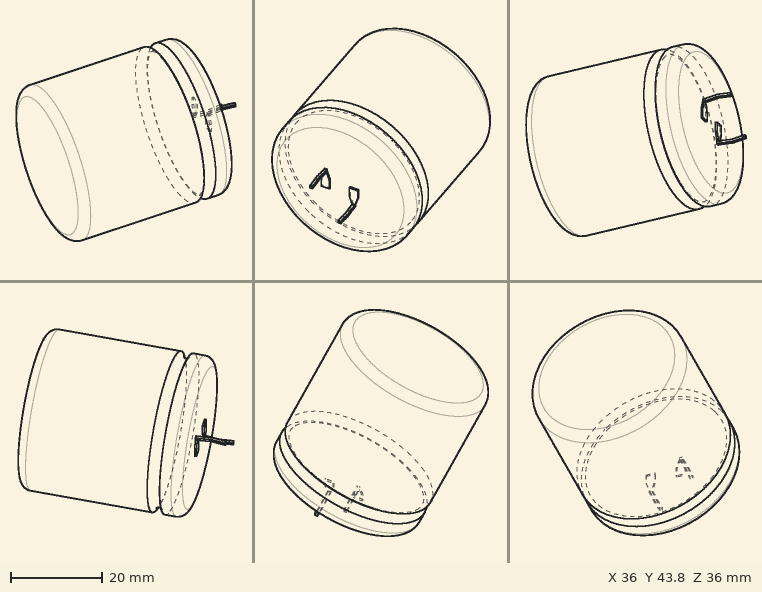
import cadquery as cq
import math

can_radius = 18.0
can_length = 37.0
rim_fillet = 2.08
groove_radius = 1.38
groove_setback = 6.03

terminal_pitch = 10.0
terminal_offset = terminal_pitch / 2 / math.sqrt(2)
terminal_height = 6.79

foot_thickness = 0.42
foot_width = 2.1
foot_half_length = 1.15
pin_width = 0.65
pin_thickness = 0.6
pin_bow = 0.35
embed = 0.5

pin_inner_z = terminal_offset - pin_thickness / 2
pin_outer_z = terminal_offset + pin_thickness / 2


def make_can():
    can = cq.Workplane("XZ").circle(can_radius).extrude(can_length)
    can = can.faces("<Y or >Y").edges().fillet(rim_fillet)
    groove = (
        cq.Workplane("XY")
        .center(can_radius, -groove_setback)
        .circle(groove_radius)
        .revolve(360, (-can_radius, 0), (-can_radius, 1))
    )
    return can.cut(groove)


def make_foot():
    """Plate that tapers to the pin width and ends flush with the pin."""
    half_width = foot_width / 2
    half_pin = pin_width / 2
    outline = [
        (-half_width, -foot_half_length),
        (half_width, -foot_half_length),
        (half_width, foot_half_length),
        (half_pin, pin_inner_z),
        (half_pin, pin_outer_z),
        (-half_pin, pin_outer_z),
        (-half_pin, pin_inner_z),
        (-half_width, foot_half_length),
    ]
    plate = cq.Workplane("XZ", origin=(terminal_offset, foot_thickness, 0))
    return plate.polyline(outline).close().extrude(foot_thickness + embed)


def make_pin():
    """Rectangular pin, kinked outwards halfway along its free length."""
    kink_y = (foot_thickness + terminal_height) / 2
    side = [
        (foot_thickness, pin_inner_z),
        (kink_y, pin_inner_z + pin_bow),
        (terminal_height, pin_inner_z),
        (terminal_height, pin_outer_z),
        (kink_y, pin_outer_z + pin_bow),
        (foot_thickness, pin_outer_z),
    ]
    pin = cq.Workplane("YZ", origin=(terminal_offset, 0, 0)).polyline(side).close()
    return pin.extrude(pin_width / 2, both=True)


result = make_can()
for turn in (0, 180):
    terminal = make_foot().union(make_pin()).rotate((0, 0, 0), (0, 1, 0), turn)
    result = result.union(terminal)